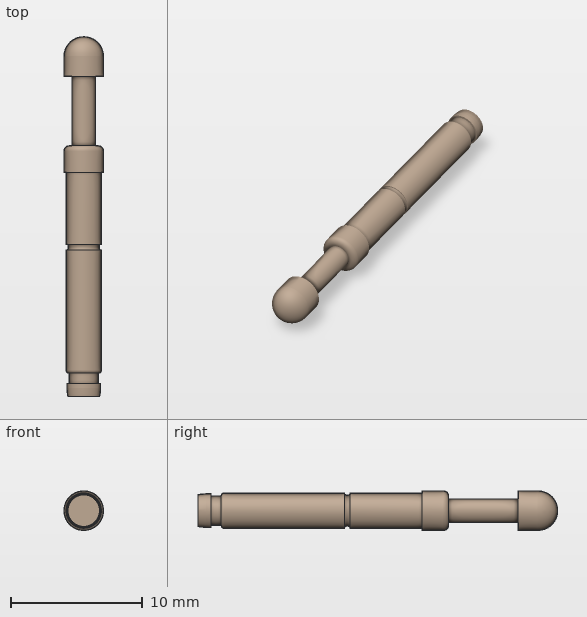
import cadquery as cq
import math

total_length = 27.3
head_radius = 1.5
head_length = 3.0

plunger_radius = 0.9

collar_radius = head_radius
collar_start = 8.27
collar_length = 2.02
collar_fillet = 0.4

barrel_radius = 1.35
barrel_end = 25.53

groove_start = 15.75
groove_length = 0.4
groove_wall_depth = 0.08
groove_depth = 0.16

neck_radius = 1.12
barrel_fillet = barrel_radius - neck_radius
tail_radius = 1.28
tail_land_length = 0.38
tail_length = 1.0
tail_end_radius = 1.2

tip_y = total_length / 2


def at(radius, station):
    """Profile point at a radius and a distance back from the tip."""
    return (radius, tip_y - station)


collar_end = collar_start + collar_length
groove_middle = groove_start + groove_length / 2
groove_end = groove_start + groove_length
groove_wall_radius = barrel_radius - groove_wall_depth
groove_floor_radius = barrel_radius - groove_depth
tail_start = total_length - tail_length
tail_land_end = tail_start + tail_land_length

corner_inset = 1 - math.sqrt(0.5)
dome_inset = head_radius * corner_inset
dome_mid = at(head_radius - dome_inset, dome_inset)
fillet_inset = collar_fillet * corner_inset
collar_fillet_mid = at(collar_radius - fillet_inset, collar_start + fillet_inset)

profile = (
    cq.Workplane("XY")
    .moveTo(*at(0, 0))
    .threePointArc(dome_mid, at(head_radius, head_radius))
    .lineTo(*at(head_radius, head_length))
    .lineTo(*at(plunger_radius, head_length))
    .lineTo(*at(plunger_radius, collar_start))
    .lineTo(*at(collar_radius - collar_fillet, collar_start))
    .threePointArc(collar_fillet_mid, at(collar_radius, collar_start + collar_fillet))
    .lineTo(*at(collar_radius, collar_end))
    .lineTo(*at(barrel_radius, collar_end))
    .lineTo(*at(barrel_radius, groove_start))
    .lineTo(*at(groove_wall_radius, groove_start))
    .threePointArc(at(groove_floor_radius, groove_middle), at(groove_wall_radius, groove_end))
    .lineTo(*at(barrel_radius, groove_end))
    .lineTo(*at(barrel_radius, barrel_end - barrel_fillet))
    .tangentArcPoint(at(neck_radius, barrel_end), relative=False)
    .lineTo(*at(neck_radius, tail_start))
    .lineTo(*at(tail_radius, tail_start))
    .lineTo(*at(tail_radius, tail_land_end))
    .tangentArcPoint(at(tail_end_radius, total_length), relative=False)
    .lineTo(*at(0, total_length))
    .close()
)

result = profile.revolve(360, (0, 0, 0), (0, 1, 0))